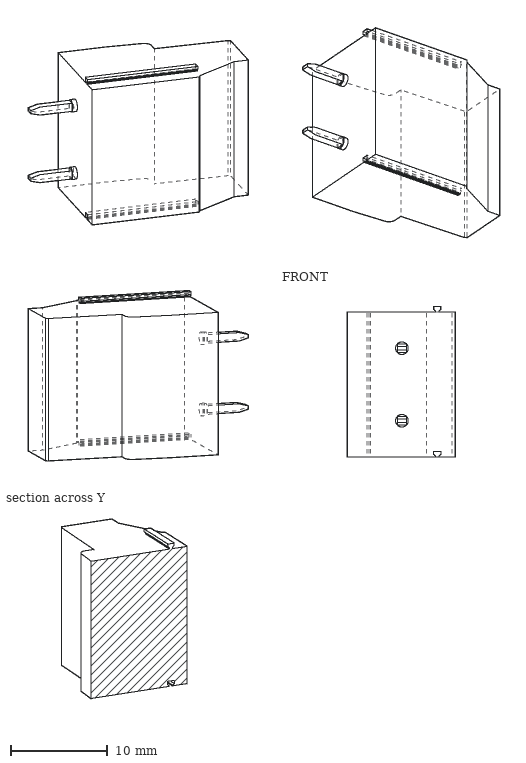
import cadquery as cq
import math

width = 11.2
depth = 18.0
height = 15.0

lower_flank_y = 5.15
step_y = 9.8
step_corner_x = 0.25
step_corner_radius = 0.8
upper_flank_x = 2.05
top_flank_x = 2.25
top_bevel_x = 0.15
top_bevel_y = 0.25

top_right_x = 8.2
slope_top_y = 16.45
slope_foot_x = 10.85
slope_foot_y = 11.85
right_edge_y = 11.65

coupling_x = 9.32
coupling_length = 12.0
coupling_height = 0.57
head_width = 0.75
neck_width = 0.4
neck_height = 0.1
taper_height = 0.17

pin_x = 5.67
pin_pitch = height / 2
pin_heights = (pin_pitch / 2, pin_pitch * 3 / 2)
pin_length = 5.0
pin_side = 0.9
pin_tip_height = 0.35
pin_tip_length = 1.0
collar_diameter = 1.3
collar_length = 0.5


def make_housing():
    """Stepped housing without couplings or pins."""
    diagonal = step_corner_radius * (1 - math.sqrt(0.5))
    corner_start = (step_corner_x, step_y - step_corner_radius)
    corner_middle = (step_corner_x + diagonal, step_y - diagonal)
    corner_end = (step_corner_x + step_corner_radius, step_y)
    return (
        cq.Workplane("XY")
        .moveTo(0, 0)
        .lineTo(0, lower_flank_y)
        .lineTo(*corner_start)
        .threePointArc(corner_middle, corner_end)
        .lineTo(upper_flank_x, step_y)
        .lineTo(top_flank_x, depth - top_bevel_y)
        .lineTo(top_flank_x + top_bevel_x, depth)
        .lineTo(top_right_x, depth)
        .lineTo(top_right_x, slope_top_y)
        .lineTo(slope_foot_x, slope_foot_y)
        .lineTo(width, right_edge_y)
        .lineTo(width, 0)
        .close()
        .extrude(height)
    )


def make_coupling(base_z):
    """Bar with a narrow neck at base_z that flares into a wider head."""
    half_neck = neck_width / 2
    half_head = head_width / 2
    right_side = [
        (half_neck, 0),
        (half_neck, neck_height),
        (half_head, neck_height + taper_height),
        (half_head, coupling_height),
    ]
    left_side = [(-x, z) for x, z in reversed(right_side)]
    return (
        cq.Workplane("XZ", origin=(coupling_x, 0, base_z))
        .polyline(right_side + left_side)
        .close()
        .extrude(-coupling_length)
    )


def make_pin(center_z):
    """Square pin with a round collar and a tip flattened from above and below."""
    half_side = pin_side / 2
    half_tip = pin_tip_height / 2
    taper_start = pin_tip_length - pin_length
    blade = (
        cq.Workplane("YZ", origin=(pin_x - half_side, 0, center_z))
        .moveTo(0, half_side)
        .lineTo(taper_start, half_side)
        .lineTo(-pin_length, half_tip)
        .lineTo(-pin_length, -half_tip)
        .lineTo(taper_start, -half_side)
        .lineTo(0, -half_side)
        .close()
        .extrude(pin_side)
    )
    collar = (
        cq.Workplane("XZ", origin=(pin_x, 0, center_z))
        .circle(collar_diameter / 2)
        .extrude(collar_length)
    )
    return collar.union(blade)


result = make_housing().union(make_coupling(height)).cut(make_coupling(0))
for pin_z in pin_heights:
    result = result.union(make_pin(pin_z))